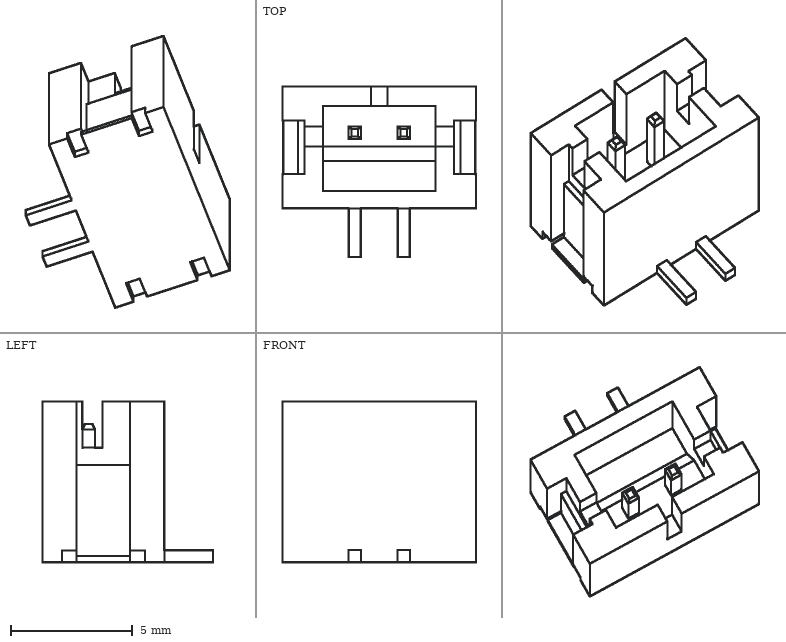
import cadquery as cq

body_width = 7.95
body_depth = 5.0
body_height = 6.6

cavity_width = 4.595
cavity_front = 0.71
cavity_back = 4.2
upper_floor_z = 2.425
lower_floor_z = 1.19
slope_front = 1.93

side_slot_front = 2.545
side_slot_back = 3.355
side_slot_floor_z = 4.71
key_slot_width = 0.675
key_slot_floor_z = 3.02

recess_inset = 0.91
recess_length = 2.2
notch_length = 3.4
notch_height = 0.49

tab_thickness = 0.255
tab_height = 4.0
tab_foot_gap = 0.03

pin_pitch = 2.0
pin_size = 0.5
pin_tip_z = 5.68
pin_tip_height = 0.23
pin_depth = 0.525
pin_tip_inset = 0.11
leg_reach = 2.0
pin_back = 3.36


def block(x_range, y_range, z_range):
    """Box between the given limits along each axis."""
    lows, highs = zip(x_range, y_range, z_range)
    sizes = [high - low for low, high in zip(lows, highs)]
    return cq.Workplane("XY").box(*sizes, centered=False).translate(lows)


def centred(length, middle=0.0):
    """Limits of a length centred on a given position."""
    return (middle - length / 2, middle + length / 2)


def make_cavity():
    """Cavity profile in the YZ plane, extruded across its width."""
    return (
        cq.Workplane("YZ")
        .polyline([
            (cavity_front, body_height),
            (cavity_front, lower_floor_z),
            (slope_front, lower_floor_z),
            (side_slot_front, upper_floor_z),
            (cavity_back, upper_floor_z),
            (cavity_back, body_height),
        ])
        .close()
        .extrude(cavity_width / 2, both=True)
    )


def make_housing():
    housing = block(centred(body_width), (0, body_depth), (0, body_height))
    housing = housing.cut(make_cavity())
    housing = housing.cut(block(
        centred(body_width), (side_slot_front, side_slot_back), (side_slot_floor_z, body_height)))
    housing = housing.cut(block(
        centred(key_slot_width), (cavity_back, body_depth), (key_slot_floor_z, body_height)))
    outer_x = body_width / 2
    for x_range in ((-outer_x, recess_inset - outer_x), (outer_x - recess_inset, outer_x)):
        recess = block(x_range, centred(recess_length, body_depth / 2), (0, body_height))
        notch = block(x_range, centred(notch_length, body_depth / 2), (0, notch_height))
        housing = housing.cut(recess).cut(notch)
    return housing


def make_tab():
    """Solder tab on the +X side: an upright plate with an outward foot."""
    inner_x = body_width / 2 - recess_inset
    foot_x = body_width / 2 - tab_foot_gap
    y_range = centred(recess_length, body_depth / 2)
    plate = block((inner_x, inner_x + tab_thickness), y_range, (0, tab_height))
    foot = block((inner_x, foot_x), y_range, (0, tab_thickness))
    return plate.union(foot)


def make_contact(x):
    """Upright pin with a tapered tip and a leg leaving the front at the base."""
    shoulder_z = pin_tip_z - pin_tip_height
    x_range = centred(pin_size, x)
    pin = block(x_range, (pin_back - pin_depth, pin_back), (0, shoulder_z))
    leg = block(x_range, (-leg_reach, pin_back), (0, pin_size))
    tip = (
        cq.Workplane("XY", origin=(x, pin_back - pin_depth / 2, shoulder_z))
        .rect(pin_size, pin_depth)
        .workplane(offset=pin_tip_height)
        .rect(pin_size - 2 * pin_tip_inset, pin_depth - 2 * pin_tip_inset)
        .loft(ruled=True)
    )
    return pin.union(leg).union(tip)


result = make_housing()
tab = make_tab()
result = result.union(tab).union(tab.mirror("YZ"))
for contact_x in centred(pin_pitch):
    result = result.union(make_contact(contact_x))